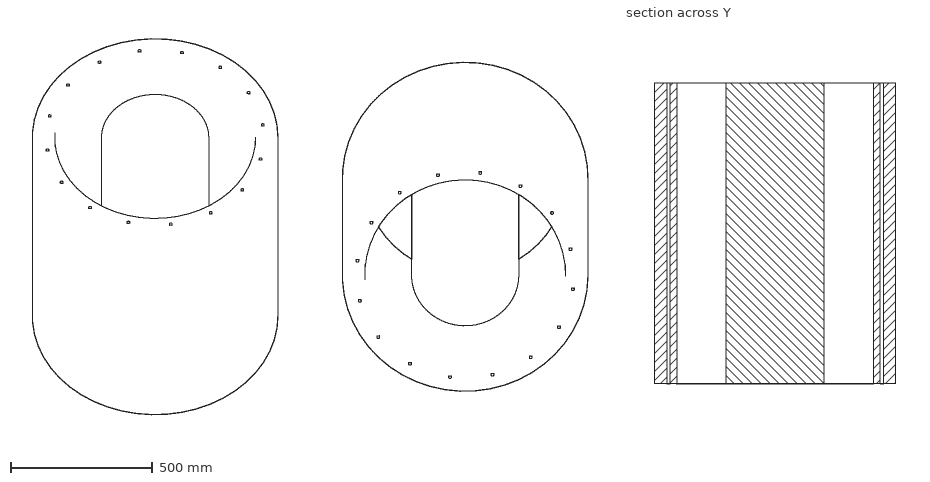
import cadquery as cq

HEIGHT = 1065.0
OUTER_DIAMETER = 870.0
BORE_DIAMETER = 710.0
CORE_DIAMETER = 380.0
EDGE_RADIUS = 2.0

HOLE_COUNT = 16
HOLE_DIAMETER = 10.0
HOLE_CIRCLE_DIAMETER = 770.0
HOLE_START_ANGLE = 360 / HOLE_COUNT / 2


def make_housing():
    """Hollow cylinder with rounded rims and a ring of through holes."""
    tube = (
        cq.Workplane("XY")
        .circle(OUTER_DIAMETER / 2)
        .circle(BORE_DIAMETER / 2)
        .extrude(HEIGHT)
        .faces("<Z or >Z")
        .edges()
        .fillet(EDGE_RADIUS)
    )
    holes = (
        cq.Workplane("XY")
        .polarArray(HOLE_CIRCLE_DIAMETER / 2, HOLE_START_ANGLE, 360, HOLE_COUNT)
        .circle(HOLE_DIAMETER / 2)
        .extrude(HEIGHT)
    )
    return tube.cut(holes)


def make_core():
    """Solid cylinder standing on the housing axis, flush with both ends."""
    return (
        cq.Workplane("XY")
        .circle(CORE_DIAMETER / 2)
        .extrude(HEIGHT)
        .faces("<Z or >Z")
        .edges()
        .fillet(EDGE_RADIUS)
    )


housing = make_housing()
core = make_core()

result = cq.Compound.makeCompound([housing.solids().val(), core.solids().val()])